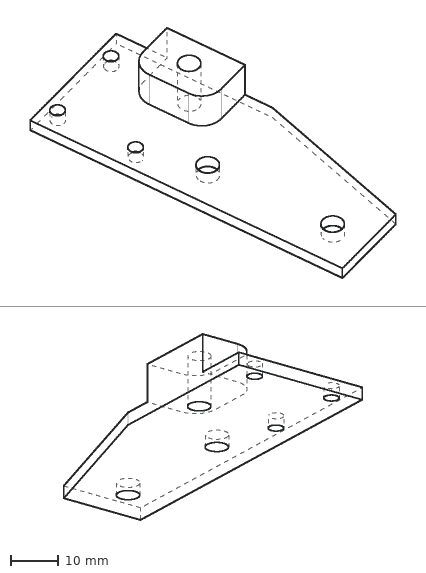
import cadquery as cq

plate_length = 80.0
plate_width = 32.2
plate_thickness = 2.9
taper_start_x = 40.0
right_end_width = 20.0

total_height = 11.6
block_width = 20.0
block_depth = 13.9
block_corner_radius = 5.0
block_center_x = 23.0

small_hole_diameter = 3.3
hole_pitch = 20.0
left_hole_x = block_center_x - hole_pitch
front_hole_y = 5.8
back_hole_y = front_hole_y + hole_pitch

large_hole_diameter = 5.0
large_hole_pitch = 32.0
large_hole_x = 38.6
large_hole_y = 10.0

small_hole_points = [
    (left_hole_x, front_hole_y),
    (left_hole_x, back_hole_y),
    (block_center_x, front_hole_y),
]
large_hole_points = [
    (block_center_x, back_hole_y),
    (large_hole_x, large_hole_y),
    (large_hole_x + large_hole_pitch, large_hole_y),
]


def make_plate():
    """Rectangular plate with its back right corner cut off by a long taper."""
    outline = [
        (0, 0),
        (plate_length, 0),
        (plate_length, right_end_width),
        (taper_start_x, plate_width),
        (0, plate_width),
    ]
    return cq.Workplane("XY").polyline(outline).close().extrude(plate_thickness)


def make_block():
    """Full-height block with its two front vertical edges rounded."""
    return (
        cq.Workplane("XY")
        .center(block_center_x, plate_width - block_depth / 2)
        .rect(block_width, block_depth)
        .extrude(total_height)
        .edges("|Z and <Y")
        .fillet(block_corner_radius)
    )


def make_holes(points, diameter):
    """Vertical cylinders that cut through the whole part."""
    return cq.Workplane("XY").pushPoints(points).circle(diameter / 2).extrude(total_height)


result = (
    make_plate()
    .union(make_block())
    .cut(make_holes(small_hole_points, small_hole_diameter))
    .cut(make_holes(large_hole_points, large_hole_diameter))
)